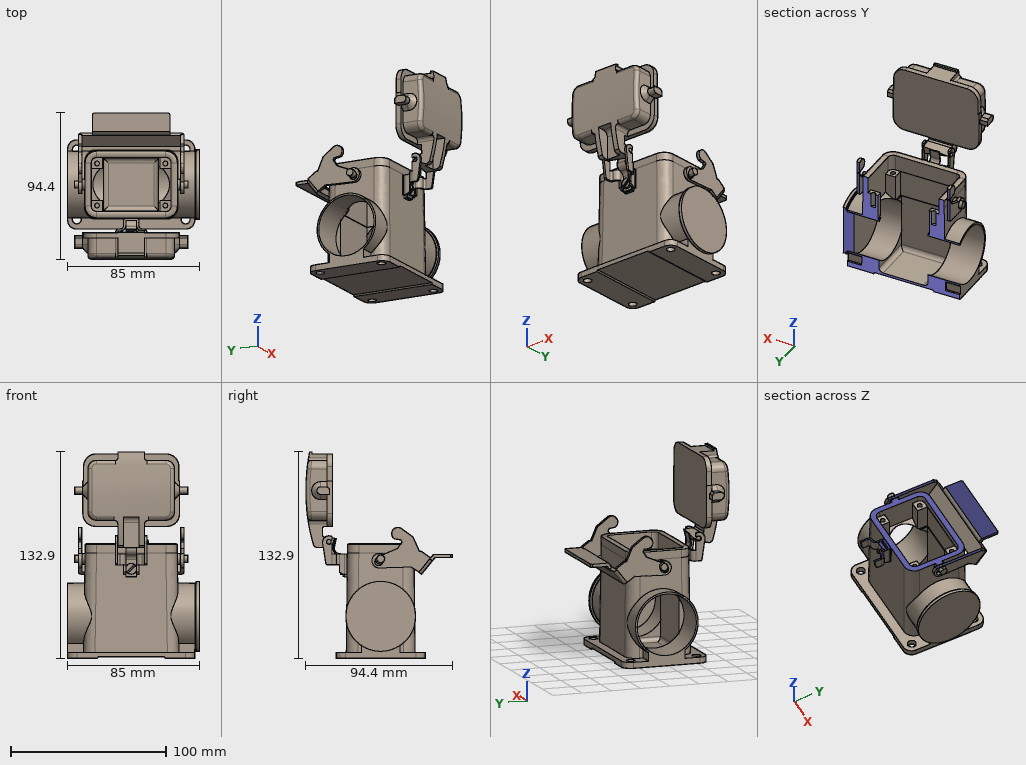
import cadquery as cq
import math


plate_half_x = 41.0
plate_half_y = 28.75
plate_height = 4.0
plate_corner = 6.0
mount_hole_d = 5.6
mount_hole_span = (70.0, 45.0)
relief_half = 22.0
relief_depth = 1.0
relief_slope = 0.7

base_size = (61.4, 44.4)
neck_size = (59.4, 43.0)
neck_z = 68.0
shell_low_z = plate_height - relief_depth
crown_rise = 0.6
rim_z = 74.0 - crown_rise
shell_corner = 7.4
mouth_size = (51.5, 34.8)
mouth_corner = 3.6
pad_z = 62.2
well_step_z = 43.8
well_floor_z = 3.0
upper_well_size = (37.2, 34.6)
lower_well_size = (35.4, 33.8)
well_fillet = 3.0
insert_hole_d = 3.05
insert_hole_depth = 10.0
insert_hole_span = (44.0, 27.0)
pocket_width = 20.3
roof_z = 48.0
roof_angle = 31.0

tube_z = 27.1
tube_d = 43.0
bore_d = 40.5
tube_web_half = 12.5
cap_end_x = 44.0
cap_flange_d = 45.0
cap_flange_thickness = 2.2
cap_neck_d = 42.4
cap_plug_depth = 5.0

pivot_z = 64.1
pivot_d = 4.8
pivot_end_x = 36.45
lever_outer_x = 34.0
lever_sheet = 2.25
pivot_boss_d = 7.0
pivot_boss_round = 0.7
lever_inner_x = lever_outer_x - lever_sheet
eye_center = (-0.8, 63.1)
eye_radius = 4.85
slot_d = 5.0
slot_end = (-1.35, 62.2)
hook_center = (11.1, 80.3)
hook_radius = 4.1
hook_tip_start = (13.5, 83.6)
hook_tip_end = (8.8, 76.9)
hook_throat = ((12.7, 76.3), (13.7, 75.1), (10.9, 70.8))
flank_top_end = (1.5, 66.9)
flank_underside = ((14.3, 58.7), (19.3, 59.0))
flank_shoulder = ((26.2, 69.0), (24.9, 69.1), (20.9, 78.1))
back_low = (26.3, 54.1)
back_high = (33.3, 62.8)
back_inner_low = (24.6, 55.5)
back_inner_high = (32.1, 64.8)
back_bend_radius = 2.4
back_flank_depth = 4.0
handle_half_x = 25.0
handle_end_y = 46.06
handle_z = (64.9, 67.0)
handle_corner = 1.0
handle_bend_y = (34.0, 35.0)
handle_root_outer = (32.5, 61.8)
handle_root_inner = (30.8, 63.2)

cover_back_y = -30.9
flange_front_y = -34.5
cover_front_y = -48.3
dome_radius = 125.0
cover_low_z = 84.9
cover_high_z = 131.7
cover_pin_z = 108.0
flange_half_x = 30.75
flange_low_half_x = 31.2
flange_step_z = 114.3
flange_corner = 8.3
lid_half_x = 27.9
lid_z = (88.9, 127.5)
lid_corner = 5.6
lid_round = 2.6
rib_half_x = 8.6
rib_blend_high = 1.4
rib_blend_low = 2.5
tab_top_z = 132.94
tab_back_y = -44.1
hinge_gap_half_x = 5.1
hinge_gap_floor_y = -38.3
hinge_gap_top_z = 91.2
hinge_gap_round = 3.7
cover_pin_axis_y = -38.7
cover_pin_back_y = -32.9
cover_pin_bevel = 1.5
cone_radius = 5.75
leaf_low_z = 71.3
leaf_back_top = (-36.4, cover_low_z)
leaf_back_bend = ((-37.1, 84.6), (-37.4, 83.9))
knuckle_outline = ((-37.4, 78.8), (-36.0, 78.0), (-29.6, 77.6), (-31.1, leaf_low_z), (-40.7, leaf_low_z))
leaf_toe = ((-42.5, 72.0), (-43.6, 73.6))

hinge_pin_d = 3.0
hinge_hole_d = 3.05
hinge_axis = (-33.35, 75.0)
hinge_pin_end_x = 11.1
hinge_pin_dome = 0.8
bracket_sheet = 1.5
bracket_back_y = -21.8
channel_half_x = 5.0
channel_lip_y = -30.0
bracket_z = (54.1, 60.2, 67.3)
lip_bend_radius = 2.0
ear_bend_radius = 1.2
web_nose = ((-24.3, bracket_z[0]), (-26.6, 55.5), (-26.6, bracket_z[1]))
ear_outer_x = 10.2
ear_inner_x = ear_outer_x - bracket_sheet
ear_radius = 4.0
ear_back_y = -31.3
ear_mouth = 2.8
ear_foot = ((-34.7, bracket_z[1]), (-35.4, 61.0))
ear_flat_height = 1.0
spring_half_x = 3.45
spring_sheet = 1.0
spring_low_z = 52.8
spring_bend_z = 63.6
spring_inner_bend = ((-24.2, 66.3), (-26.9, 67.6))
spring_inner_crest = ((-29.0, 68.7), (-29.8, 71.0))
spring_outer_bend = (-25.2, 65.4)
spring_outer_crest = ((-29.8, 68.0), (-27.3, 66.6))
spring_outer_top = (-30.6, 70.8)
spring_tip = (-28.5, 77.3)
spring_tip_front_y = -29.3
pad_low_z = 52.3
screw_z = 57.7
screw_head_d = 7.0
screw_head_height = 1.5
screw_slot = (1.1, 0.6)
screw_slot_angle = 45


def block(x, y, z):
    """Box given by its (low, high) pair on each axis."""
    size = (x[1] - x[0], y[1] - y[0], z[1] - z[0])
    return cq.Workplane("XY").box(*size, centered=False).translate((x[0], y[0], z[0]))


def rounded_column(size, z_low, z_high, corner):
    """Upright rounded rectangle centred on the Z axis."""
    column = cq.Workplane("XY").workplane(offset=z_low).rect(*size).extrude(z_high - z_low)
    return column.edges("|Z").fillet(corner)


def side_profile(x_start):
    """Sketch plane whose local axes are Y and Z."""
    return cq.Workplane("YZ", origin=(x_start, 0, 0))


def x_cylinder(diameter, x_low, x_high, y, z):
    return side_profile(x_low).center(y, z).circle(diameter / 2).extrude(x_high - x_low)


def mounting_plate():
    plate = rounded_column((2 * plate_half_x, 2 * plate_half_y), 0, plate_height, plate_corner)
    holes = (
        cq.Workplane("XY").rect(*mount_hole_span, forConstruction=True).vertices()
        .circle(mount_hole_d / 2).extrude(plate_height)
    )
    relief = (
        cq.Workplane("XZ", origin=(0, plate_half_y, 0))
        .moveTo(-relief_half, 0)
        .lineTo(relief_half, 0)
        .lineTo(relief_half - relief_slope, relief_depth)
        .lineTo(-relief_half + relief_slope, relief_depth)
        .close()
        .extrude(2 * plate_half_y)
    )
    return plate.cut(holes).cut(relief)


def shell():
    """Drafted block with a straight neck on top."""
    drafted = (
        cq.Workplane("XY").workplane(offset=shell_low_z).rect(*base_size)
        .workplane(offset=neck_z - shell_low_z).rect(*neck_size)
        .loft(ruled=True)
    )
    drafted = drafted.edges("not(|X or |Y)").fillet(shell_corner)
    return drafted.union(rounded_column(neck_size, neck_z, rim_z, shell_corner))


def rim_crown():
    """Gently rounded crown swept around the mouth."""
    middle_x = (neck_size[0] + mouth_size[0]) / 2
    middle_y = (neck_size[1] + mouth_size[1]) / 2
    half_width = (neck_size[1] - mouth_size[1]) / 4
    column = rounded_column((middle_x, middle_y), neck_z, rim_z, (shell_corner + mouth_corner) / 2)
    path = column.faces(">Z").wires()
    profile = (
        side_profile(0)
        .moveTo(-middle_y / 2 - half_width, rim_z)
        .threePointArc((-middle_y / 2, rim_z + crown_rise), (-middle_y / 2 + half_width, rim_z))
        .close()
    )
    return profile.sweep(path, transition="round")


def cavity():
    """Mouth, stepped well, pockets over the bores and the insert screw holes."""
    mouth = rounded_column(mouth_size, pad_z, rim_z, mouth_corner)
    upper = block(
        (-upper_well_size[0] / 2, upper_well_size[0] / 2),
        (-upper_well_size[1] / 2, upper_well_size[1] / 2),
        (well_step_z, pad_z),
    )
    lower = block(
        (-lower_well_size[0] / 2, lower_well_size[0] / 2),
        (-lower_well_size[1] / 2, lower_well_size[1] / 2),
        (well_floor_z, well_step_z),
    )
    lower = lower.edges("<Z").fillet(well_fillet)
    insert_holes = (
        cq.Workplane("XY").workplane(offset=pad_z)
        .rect(*insert_hole_span, forConstruction=True).vertices()
        .circle(insert_hole_d / 2).extrude(-insert_hole_depth)
    )
    half_mouth = mouth_size[0] / 2
    roof_drop = half_mouth * math.tan(math.radians(roof_angle))
    pockets = (
        cq.Workplane("XZ", origin=(0, pocket_width / 2, 0))
        .moveTo(0, roof_z - roof_drop)
        .lineTo(half_mouth, roof_z)
        .lineTo(half_mouth, pad_z)
        .lineTo(-half_mouth, pad_z)
        .lineTo(-half_mouth, roof_z)
        .close()
        .extrude(pocket_width)
    )
    return mouth.union(upper).union(lower).union(pockets).union(insert_holes)


def lever_pivots():
    pins = x_cylinder(pivot_d, -pivot_end_x, pivot_end_x, 0, pivot_z)
    bosses = x_cylinder(pivot_boss_d, -lever_inner_x, lever_inner_x, 0, pivot_z)
    bosses = bosses.faces("<X or >X").edges().fillet(pivot_boss_round)
    return pins.union(bosses)


def housing_body():
    tubes = x_cylinder(tube_d, -plate_half_x, plate_half_x, 0, tube_z)
    webs = block((-plate_half_x, plate_half_x), (-tube_web_half, tube_web_half), (plate_height, tube_z))
    spring_pad = block(
        (-spring_half_x, spring_half_x),
        (bracket_back_y - bracket_sheet, -mouth_size[1] / 2),
        (pad_low_z, bracket_z[0]),
    )
    bracket_seat = block(
        (-channel_half_x, channel_half_x), (bracket_back_y, -mouth_size[1] / 2), (bracket_z[0], bracket_z[2])
    )
    solid = mounting_plate().union(shell()).union(tubes).union(webs).union(lever_pivots())
    solid = solid.union(spring_pad).union(bracket_seat)
    for x_low, x_high in ((-plate_half_x, -lower_well_size[0] / 2), (lower_well_size[0] / 2, plate_half_x)):
        solid = solid.cut(x_cylinder(bore_d, x_low, x_high, 0, tube_z))
    return solid.cut(cavity()).union(rim_crown())


def blind_cap():
    flange_x = cap_end_x - cap_flange_thickness
    flange = x_cylinder(cap_flange_d, flange_x, cap_end_x, 0, tube_z)
    neck = x_cylinder(cap_neck_d, plate_half_x, flange_x, 0, tube_z)
    plug = x_cylinder(bore_d, plate_half_x - cap_plug_depth, plate_half_x, 0, tube_z)
    return flange.union(neck).union(plug)


def lever_flank(x_start):
    """One side plate: pivot eye, hook at the free end, and the edge that meets the back."""
    eye_low = (eye_center[0], eye_center[1] - eye_radius)
    eye_far = (eye_center[0] - eye_radius, eye_center[1])
    hook_far = (hook_center[0] - hook_radius, hook_center[1])
    outline = (
        side_profile(x_start)
        .polyline([eye_low, *flank_underside, back_inner_low])
        .polyline([back_inner_high, *flank_shoulder, hook_tip_start], includeCurrent=True)
        .threePointArc(hook_far, hook_tip_end)
        .polyline([*hook_throat, flank_top_end], includeCurrent=True)
        .threePointArc(eye_far, eye_low)
        .close()
        .extrude(lever_sheet)
    )
    slot_length = math.hypot(slot_end[0], slot_end[1] - pivot_z)
    slot_tilt = math.degrees(math.atan2(slot_end[1] - pivot_z, slot_end[0]))
    slot = (
        side_profile(x_start)
        .center(slot_end[0] / 2, (slot_end[1] + pivot_z) / 2)
        .slot2D(slot_length + slot_d, slot_d, slot_tilt)
        .extrude(lever_sheet)
    )
    return outline.cut(slot)


def lever_back():
    """Sloping back plate bent round into the two flanks."""
    rise = (back_high[0] - back_low[0], back_high[1] - back_low[1])
    plane = cq.Plane(origin=(0, back_low[0], back_low[1]), xDir=(1, 0, 0), normal=(0, rise[0], rise[1]))
    length = math.hypot(*rise)
    outer = (
        cq.Workplane(plane).center(0, -back_flank_depth / 2)
        .rect(2 * lever_outer_x, back_flank_depth).extrude(length)
    )
    outer_face = outer.faces(cq.selectors.DirectionMinMaxSelector(plane.yDir, True))
    outer = outer_face.edges(cq.selectors.ParallelDirSelector(plane.zDir)).fillet(back_bend_radius)
    inner = (
        cq.Workplane(plane).center(0, -lever_sheet - back_flank_depth / 2)
        .rect(2 * lever_inner_x, back_flank_depth).extrude(length)
    )
    return outer.cut(inner)


def lever_handle():
    handle = (
        side_profile(-handle_half_x)
        .moveTo(*handle_root_outer)
        .lineTo(*back_high)
        .lineTo(handle_bend_y[1], handle_z[0])
        .lineTo(handle_end_y, handle_z[0])
        .lineTo(handle_end_y, handle_z[1])
        .lineTo(handle_bend_y[0], handle_z[1])
        .lineTo(*back_inner_high)
        .lineTo(*handle_root_inner)
        .close()
        .extrude(2 * handle_half_x)
    )
    return handle.edges("|Z and >Y").chamfer(handle_corner)


def locking_lever():
    solid = lever_back().union(lever_handle())
    for x_start in (-lever_outer_x, lever_inner_x):
        solid = solid.union(lever_flank(x_start))
    return solid


def cover_dome():
    """Large cylinder whose -Y side is the bowed front of the cover."""
    return x_cylinder(2 * dome_radius, -plate_half_x, plate_half_x, cover_front_y + dome_radius, cover_pin_z)


def cover_flange():
    """Backing flange, a little wider below the step in its sides."""
    depth = (flange_front_y, cover_back_y)
    upper = block((-flange_half_x, flange_half_x), depth, (flange_step_z, cover_high_z))
    lower = block((-flange_low_half_x, flange_low_half_x), depth, (cover_low_z, flange_step_z))
    upper = upper.edges("|Y and >Z").fillet(flange_corner)
    lower = lower.edges("|Y and <Z").fillet(flange_corner)
    return upper.union(lower)


def cover_lid():
    lid = block((-lid_half_x, lid_half_x), (2 * cover_front_y, flange_front_y), lid_z)
    lid = lid.edges("|Y").fillet(lid_corner).intersect(cover_dome())
    return lid.faces("<Y").edges().fillet(lid_round)


def cover_rib():
    """Central rib over the lid, flared where it leaves the lid, with a lip on top."""
    high_bend = rib_blend_high * (1 - math.sqrt(0.5))
    low_bend = rib_blend_low * (1 - math.sqrt(0.5))
    half = (
        cq.Workplane("XZ", origin=(0, flange_front_y, 0))
        .moveTo(0, cover_high_z)
        .lineTo(rib_half_x, cover_high_z)
        .lineTo(rib_half_x, lid_z[1] + rib_blend_high)
        .threePointArc((rib_half_x + high_bend, lid_z[1] + high_bend),
                       (rib_half_x + rib_blend_high, lid_z[1]))
        .lineTo(rib_half_x + rib_blend_low, lid_z[0])
        .threePointArc((rib_half_x + low_bend, lid_z[0] - low_bend),
                       (rib_half_x, lid_z[0] - rib_blend_low))
        .lineTo(rib_half_x, cover_low_z)
        .lineTo(0, cover_low_z)
        .close()
        .extrude(flange_front_y - 2 * cover_front_y)
    )
    lip = block((-rib_half_x, rib_half_x), (2 * cover_front_y, tab_back_y), (lid_z[1], tab_top_z))
    return half.union(half.mirror("YZ")).union(lip).intersect(cover_dome())


def cover_leaf():
    """Hinge leaf below the rib, ending in a knuckle round the hinge pin."""
    leaf = (
        side_profile(-rib_half_x)
        .moveTo(2 * cover_front_y, cover_low_z)
        .lineTo(*leaf_back_top)
        .threePointArc(*leaf_back_bend)
        .polyline(knuckle_outline, includeCurrent=True)
        .threePointArc(*leaf_toe)
        .lineTo(2 * cover_front_y, leaf_toe[1][1])
        .close()
        .extrude(2 * rib_half_x)
    )
    return leaf.intersect(cover_dome())


def hinge_gap():
    gap = block(
        (-hinge_gap_half_x, hinge_gap_half_x), (2 * cover_front_y, hinge_gap_floor_y), (0, hinge_gap_top_z)
    )
    return gap.edges(">Y and >Z").fillet(hinge_gap_round)


def half_round(plane_x, back_y, radius):
    """Outline with a flat back and a round front about the cover pin axis."""
    return (
        side_profile(plane_x).center(0, cover_pin_z)
        .moveTo(back_y, -radius)
        .lineTo(cover_pin_axis_y, -radius)
        .threePointArc((cover_pin_axis_y - radius, 0), (cover_pin_axis_y, radius))
        .lineTo(back_y, radius)
        .close()
    )


def cover_pin():
    """Locking pin on the +X side, with the flared root that carries it."""
    pin = half_round(lid_half_x, cover_pin_back_y, pivot_d / 2).extrude(pivot_end_x - lid_half_x)
    pin = pin.edges("|X and >Y and >Z").chamfer(cover_pin_bevel)
    wide = half_round(lid_half_x, flange_front_y, cone_radius).wires().val()
    narrow = half_round(flange_low_half_x, flange_front_y, pivot_d / 2).wires().val()
    root = cq.Workplane(cq.Solid.makeLoft([wide, narrow], True))
    return pin.union(root)


def hinge_pin():
    """Pin with domed ends, turned about the hinge axis."""
    radius = hinge_pin_d / 2
    dome_sphere = (radius ** 2 + hinge_pin_dome ** 2) / (2 * hinge_pin_dome)
    center_x = hinge_pin_end_x - dome_sphere
    pin = x_cylinder(hinge_pin_d, -hinge_pin_end_x, hinge_pin_end_x, *hinge_axis)
    body = x_cylinder(hinge_pin_d, -center_x, center_x, *hinge_axis)
    for x in (-center_x, center_x):
        body = body.union(pin.intersect(cq.Workplane("XY").sphere(dome_sphere).translate((x, *hinge_axis))))
    return body


def cover():
    pin = cover_pin()
    solid = cover_flange().union(cover_lid()).union(cover_rib()).union(cover_leaf())
    solid = solid.cut(hinge_gap())
    return solid.union(pin).union(pin.mirror("YZ")).union(hinge_pin())


def bracket_channel():
    """Channel against the housing wall, with lips that turn out to the ears."""
    back_y = bracket_back_y
    inner_x = channel_half_x - bracket_sheet
    web_end_y = channel_lip_y + bracket_sheet
    half = (
        cq.Workplane("XY", origin=(0, 0, bracket_z[0]))
        .moveTo(0, back_y)
        .lineTo(channel_half_x, back_y)
        .lineTo(channel_half_x, web_end_y)
        .lineTo(ear_outer_x, web_end_y)
        .lineTo(ear_outer_x, ear_back_y)
        .lineTo(ear_inner_x, ear_back_y)
        .lineTo(ear_inner_x, channel_lip_y)
        .lineTo(inner_x, channel_lip_y)
        .lineTo(inner_x, back_y - bracket_sheet)
        .lineTo(0, back_y - bracket_sheet)
        .close()
        .extrude(bracket_z[2] - bracket_z[0])
    )
    bends = (
        (channel_half_x, back_y, bracket_sheet),
        (channel_half_x, web_end_y, lip_bend_radius),
        (inner_x, channel_lip_y, lip_bend_radius + bracket_sheet),
        (ear_inner_x, channel_lip_y, ear_bend_radius),
        (ear_outer_x, web_end_y, ear_bend_radius + bracket_sheet),
    )
    for x, y, radius in bends:
        middle_z = (bracket_z[0] + bracket_z[2]) / 2
        half = half.edges(cq.selectors.NearestToPointSelector((x, y, middle_z))).fillet(radius)
    side_shape = (
        side_profile(-ear_outer_x)
        .polyline([(0, bracket_z[2]), (0, bracket_z[0]), *web_nose])
        .lineTo(ear_back_y, bracket_z[1])
        .lineTo(ear_back_y, bracket_z[2])
        .close()
        .extrude(2 * ear_outer_x)
    )
    return half.union(half.mirror("YZ")).intersect(side_shape)


def bracket_ear(x_start):
    """Upright ear with a snap-in seat for the hinge pin, open towards the housing."""
    axis_y, axis_z = hinge_axis
    shoulder_z = axis_z + math.sqrt(ear_radius ** 2 - (ear_back_y - axis_y) ** 2)
    ear = (
        side_profile(x_start)
        .polyline([(ear_back_y, bracket_z[1]), *ear_foot])
        .lineTo(axis_y - ear_radius, axis_z - ear_flat_height)
        .lineTo(axis_y - ear_radius, axis_z)
        .threePointArc((axis_y, axis_z + ear_radius), (ear_back_y, shoulder_z))
        .close()
        .extrude(bracket_sheet)
    )
    seat = x_cylinder(hinge_hole_d, x_start, x_start + bracket_sheet, axis_y, axis_z)
    mouth = block(
        (x_start, x_start + bracket_sheet),
        (axis_y, ear_back_y),
        (axis_z - ear_mouth / 2, axis_z + ear_mouth / 2),
    )
    return ear.cut(seat).cut(mouth)


def leaf_spring():
    """Strip that rises from the channel floor, curves out and presses on the cover knuckle."""
    foot_y = bracket_back_y - bracket_sheet
    face_y = foot_y - spring_sheet
    return (
        side_profile(-spring_half_x)
        .moveTo(foot_y, spring_low_z)
        .lineTo(foot_y, spring_bend_z)
        .threePointArc(*spring_inner_bend)
        .threePointArc(*spring_inner_crest)
        .lineTo(*spring_tip)
        .lineTo(spring_tip_front_y, spring_tip[1])
        .lineTo(*spring_outer_top)
        .threePointArc(*spring_outer_crest)
        .threePointArc(spring_outer_bend, (face_y, spring_bend_z))
        .lineTo(face_y, spring_low_z)
        .close()
        .extrude(2 * spring_half_x)
    )


def clamp_screw():
    seat_y = bracket_back_y - bracket_sheet - spring_sheet
    head = (
        cq.Workplane("XZ", origin=(0, seat_y, screw_z)).circle(screw_head_d / 2).extrude(screw_head_height)
    )
    slot = (
        cq.Workplane("XZ", origin=(0, seat_y - screw_head_height, screw_z))
        .transformed(rotate=(0, 0, screw_slot_angle))
        .rect(2 * screw_head_d, screw_slot[0]).extrude(-screw_slot[1])
    )
    return head.cut(slot)


def hinge():
    solid = bracket_channel().union(leaf_spring()).union(clamp_screw())
    for x_start in (-ear_outer_x, ear_inner_x):
        solid = solid.union(bracket_ear(x_start))
    return solid


bodies = [housing_body(), blind_cap(), locking_lever(), cover(), hinge()]
result = cq.Compound.makeCompound([solid for body in bodies for solid in body.vals()])